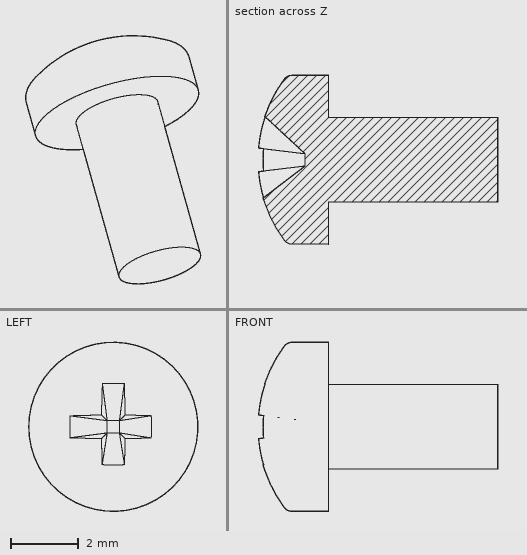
import cadquery as cq
import math

total_length = 7.07
shank_length = 5.0
shank_radius = 1.25
head_diameter = 5.0
head_radius = head_diameter / 2

dome_radius = 4.0
rim_fillet = 0.3
head_height = 2.1

recess_depth = 1.4
floor_width = 0.36
long_wing_reach = 1.27
short_wing_reach = 1.12
mouth_wing_width = 0.7

underside_x = total_length - shank_length
apex_x = underside_x - head_height


def make_head():
    """Revolve a cylindrical head with a rounded rim under a spherical dome."""
    dome_center_x = apex_x + dome_radius
    fillet_center_r = head_radius - rim_fillet
    fillet_center_x = dome_center_x - math.sqrt(
        (dome_radius - rim_fillet) ** 2 - fillet_center_r**2
    )
    tangent_angle = math.asin(fillet_center_r / (dome_radius - rim_fillet))

    def dome_point(angle):
        return (dome_center_x - dome_radius * math.cos(angle), dome_radius * math.sin(angle))

    fillet_mid_angle = (tangent_angle + math.pi / 2) / 2
    fillet_mid = (
        fillet_center_x - rim_fillet * math.cos(fillet_mid_angle),
        fillet_center_r + rim_fillet * math.sin(fillet_mid_angle),
    )
    return (
        cq.Workplane("XY")
        .moveTo(apex_x, 0)
        .threePointArc(dome_point(tangent_angle / 2), dome_point(tangent_angle))
        .threePointArc(fillet_mid, (fillet_center_x, head_radius))
        .lineTo(underside_x, head_radius)
        .lineTo(underside_x, 0)
        .close()
        .revolve(360, (0, 0, 0), (1, 0, 0))
    )


def make_shank():
    return cq.Workplane("YZ").workplane(offset=underside_x).circle(shank_radius).extrude(shank_length)


def mouth_reach(tip_reach):
    """Extend a sloped end wall from its tip on the dome up to the apex plane."""
    tip_radius = math.hypot(tip_reach, mouth_wing_width / 2)
    tip_drop = dome_radius - math.sqrt(dome_radius**2 - tip_radius**2)
    floor_reach = floor_width / 2
    end_slope = (tip_reach - floor_reach) / (recess_depth - tip_drop)
    return floor_reach + end_slope * recess_depth


def make_wing_pair(along_y):
    """Taper two opposite wings from a rectangle at the apex plane to the floor."""
    long_reach = mouth_reach(long_wing_reach)
    short_reach = mouth_reach(short_wing_reach)
    mouth_length = long_reach + short_reach
    mouth_offset = (long_reach - short_reach) / 2

    if along_y:
        mouth_size = (mouth_length, mouth_wing_width)
        mouth_center = (mouth_offset, 0)
    else:
        mouth_size = (mouth_wing_width, mouth_length)
        mouth_center = (0, mouth_offset)
    return (
        cq.Workplane("YZ")
        .workplane(offset=apex_x)
        .center(*mouth_center)
        .rect(*mouth_size)
        .workplane(offset=recess_depth)
        .center(-mouth_center[0], -mouth_center[1])
        .rect(floor_width, floor_width)
        .loft(ruled=True)
    )


result = make_head().union(make_shank())
for along_y in (True, False):
    result = result.cut(make_wing_pair(along_y))